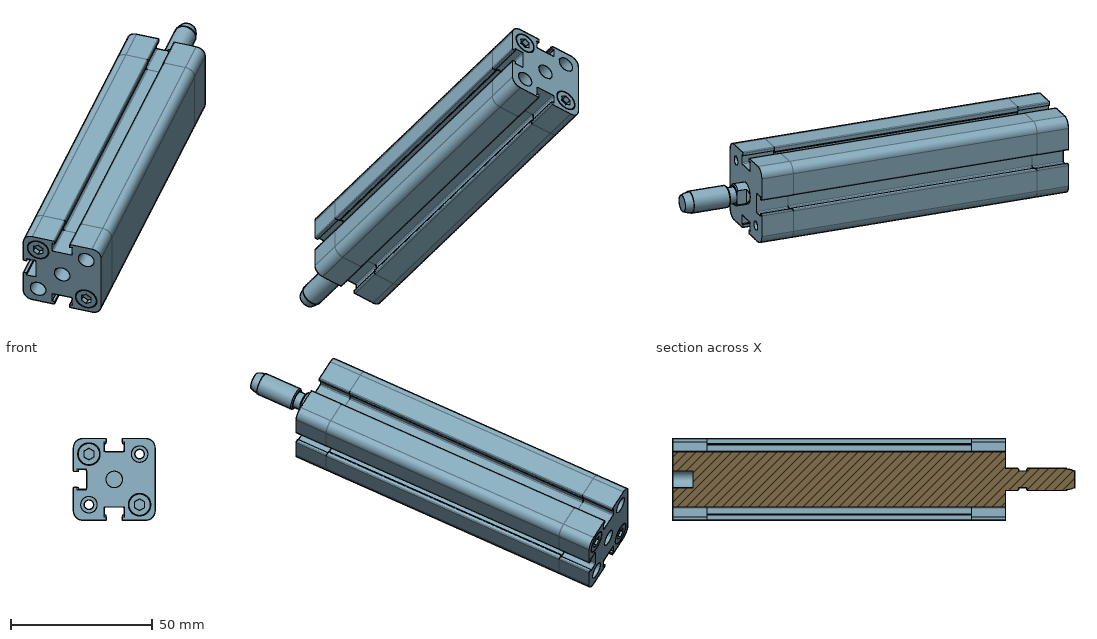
import cadquery as cq
import math


total_length = 142.5
body_side = 29.0
body_length = 118.0
cap_length = 12.1
corner_radius = 3.4
half_side = body_side / 2

groove_depth = 4.7
groove_rounding = 0.35
cap_groove_mouth = 5.5
cap_lip = 1.3
cap_groove_width = 7.4
profile_groove_mouth = 5.7
profile_lip = 1.9
profile_relief_depth = 2.0
profile_relief_width = 7.1
profile_shoulder_depth = 2.3
profile_groove_width = 6.8
groove_angles = (0, 90, 180)

bolt_offset = 9.0
mount_hole_diameter = 5.8
mount_hole_depth = cap_length
through_hole_diameter = 3.3
center_hole_diameter = 5.8
center_hole_depth = 7.1
screw_recess_diameter = 8.0
screw_head_diameter = 7.5
screw_gap_depth = 2.8
socket_corner_diameter = 4.1
socket_depth = 2.0

rod_diameter = 8.0
rod_neck_diameter = 6.0
rod_flat_width = 5.8
collar_length = 4.7
thread_end = 7.4
rod_chamfer = 0.4
tip_length = 3.0
tip_base_diameter = 7.5
tip_middle_diameter = 7.1
tip_end_diameter = 6.0


def block(start, length):
    """Square length of body with rounded long edges."""
    solid = cq.Workplane("XY").box(body_side, length, body_side, centered=(True, False, True))
    return solid.edges("|Y").fillet(corner_radius).translate((0, start, 0))


def cut_grooves(solid, wall_points, start, length):
    """Cut T-shaped grooves; wall_points are (half width, depth) from the lip to the floor wall."""
    mouth = wall_points[0][0]
    floor_half = wall_points[-1][0]
    floor = half_side - groove_depth
    radius = groove_rounding
    arc_middle = radius * math.sqrt(0.5)
    outline = (
        cq.Workplane("XZ")
        .moveTo(0, half_side)
        .lineTo(mouth + radius, half_side)
        .threePointArc(
            (mouth + radius - arc_middle, half_side - radius + arc_middle),
            (mouth, half_side - radius),
        )
    )
    for half_width, depth in wall_points:
        outline = outline.lineTo(half_width, half_side - depth)
    outline = (
        outline.lineTo(floor_half, floor + radius)
        .threePointArc(
            (floor_half - radius + arc_middle, floor + radius - arc_middle),
            (floor_half - radius, floor),
        )
        .lineTo(0, floor)
    )
    groove = outline.mirrorY().extrude(-length).translate((0, start, 0))
    for angle in groove_angles:
        solid = solid.cut(groove.rotate((0, 0, 0), (0, 1, 0), -angle))
    return solid


def end_cap(start):
    wall_points = [
        (cap_groove_mouth / 2, cap_lip),
        (cap_groove_width / 2, cap_lip),
    ]
    return cut_grooves(block(start, cap_length), wall_points, start, cap_length)


def profile_tube():
    length = body_length - 2 * cap_length
    wall_points = [
        (profile_groove_mouth / 2, profile_lip),
        (profile_relief_width / 2, profile_relief_depth),
        (profile_groove_width / 2, profile_shoulder_depth),
    ]
    return cut_grooves(block(cap_length, length), wall_points, cap_length, length)


def front_hole(points, diameter, depth):
    """Round cutters going into the front face."""
    return cq.Workplane("XZ").pushPoints(points).circle(diameter / 2).extrude(-depth)


def screw_cutter(x, z):
    """Ring gap around a screw head together with its hexagon socket."""
    gap = (
        cq.Workplane("XZ", origin=(x, 0, z))
        .circle(screw_recess_diameter / 2)
        .circle(screw_head_diameter / 2)
        .extrude(-screw_gap_depth)
    )
    socket = cq.Workplane("XZ").polygon(6, socket_corner_diameter).extrude(-socket_depth)
    socket = socket.rotate((0, 0, 0), (0, 1, 0), 30).translate((x, 0, z))
    return gap.union(socket)


def piston_rod():
    tip_start = total_length - tip_length
    collar_end = body_length + collar_length
    thread_start = body_length + thread_end
    rod_radius = rod_diameter / 2
    neck_radius = rod_neck_diameter / 2
    rod = (
        cq.Workplane("XY")
        .moveTo(0, body_length)
        .lineTo(rod_radius, body_length)
        .lineTo(rod_radius, collar_end - rod_chamfer)
        .lineTo(rod_radius - rod_chamfer, collar_end)
        .lineTo(neck_radius, collar_end)
        .lineTo(neck_radius, thread_start)
        .lineTo(rod_radius - rod_chamfer, thread_start)
        .lineTo(rod_radius, thread_start + rod_chamfer)
        .lineTo(rod_radius, tip_start)
        .lineTo(tip_base_diameter / 2, tip_start)
        .threePointArc(
            (tip_middle_diameter / 2, tip_start + tip_length / 2),
            (tip_end_diameter / 2, total_length),
        )
        .lineTo(0, total_length)
        .close()
        .revolve(360, (0, 0, 0), (0, 1, 0))
    )
    flat_x = rod_flat_width / 2
    flat_outline = [
        (flat_x, collar_end),
        (rod_radius, collar_end),
        (rod_radius, body_length),
        (flat_x, body_length + rod_radius - flat_x),
    ]
    flat = cq.Workplane("XY").polyline(flat_outline).close().extrude(rod_radius, both=True)
    return rod.cut(flat).cut(flat.mirror("YZ"))


mount_points = [(bolt_offset, bolt_offset), (-bolt_offset, -bolt_offset)]
screw_points = [(-bolt_offset, bolt_offset), (bolt_offset, -bolt_offset)]

body = end_cap(0).union(profile_tube(), clean=False)
body = body.union(end_cap(body_length - cap_length), clean=False)
body = body.cut(front_hole([(0, 0)], center_hole_diameter, center_hole_depth), clean=False)
body = body.cut(front_hole(mount_points, mount_hole_diameter, mount_hole_depth), clean=False)
body = body.cut(front_hole(mount_points, through_hole_diameter, body_length), clean=False)
for screw_x, screw_z in screw_points:
    body = body.cut(screw_cutter(screw_x, screw_z), clean=False)

result = body.union(piston_rod(), clean=False)